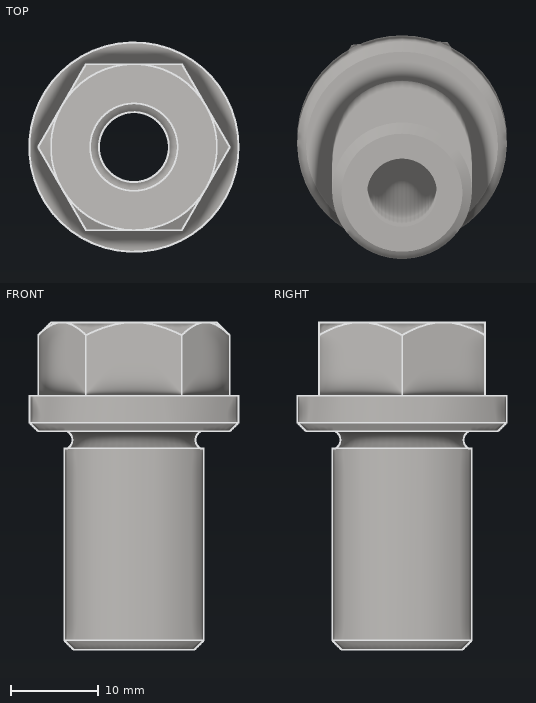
import cadquery as cq
import math

total_height = 37.5
flange_diameter = 24.0
flange_top = 29.1
flange_bottom = 25.0
flange_chamfer = 1.0
hex_across_flats = 19.0
hex_chamfer_angle = 45.0
shank_diameter = 16.0
shank_top = 23.05
tip_chamfer = 1.1
neck_diameter = 14.15
groove_edge_diameter = 15.3
bore_diameter = 8.0
countersink_diameter = 10.0
countersink_angle = 45.0

flange_radius = flange_diameter / 2
shank_radius = shank_diameter / 2
neck_radius = neck_diameter / 2
groove_edge_radius = groove_edge_diameter / 2


def make_body():
    """Revolve the shank, the grooved neck and the flange as one profile."""
    groove_middle = (neck_radius, (shank_top + flange_bottom) / 2)
    profile = (
        cq.Workplane("XZ")
        .moveTo(0, 0)
        .lineTo(shank_radius - tip_chamfer, 0)
        .lineTo(shank_radius, tip_chamfer)
        .lineTo(shank_radius, shank_top)
        .lineTo(groove_edge_radius, shank_top)
        .threePointArc(groove_middle, (groove_edge_radius, flange_bottom))
        .lineTo(flange_radius - flange_chamfer, flange_bottom)
        .lineTo(flange_radius, flange_bottom + flange_chamfer)
        .lineTo(flange_radius, flange_top)
        .lineTo(0, flange_top)
        .close()
    )
    return profile.revolve(360, (0, 0, 0), (0, 1, 0))


def make_hex_head():
    """Hexagon with corners on X, its top corners turned off by a cone."""
    across_corners = hex_across_flats / math.cos(math.radians(30))
    head_height = total_height - flange_top
    hexagon = (
        cq.Workplane("XY")
        .workplane(offset=flange_top)
        .polygon(6, across_corners)
        .extrude(head_height)
    )
    top_radius = hex_across_flats / 2
    base_radius = top_radius + head_height / math.tan(math.radians(hex_chamfer_angle))
    cone = cq.Workplane("XY").add(
        cq.Solid.makeCone(base_radius, top_radius, head_height, cq.Vector(0, 0, flange_top))
    )
    return hexagon.intersect(cone)


def drill_bore(part):
    """Cut the through bore with its countersink at the top."""
    return part.faces(">Z").workplane(origin=(0, 0, 0)).cskHole(
        bore_diameter, countersink_diameter, 2 * countersink_angle
    )


result = drill_bore(make_body().union(make_hex_head()))